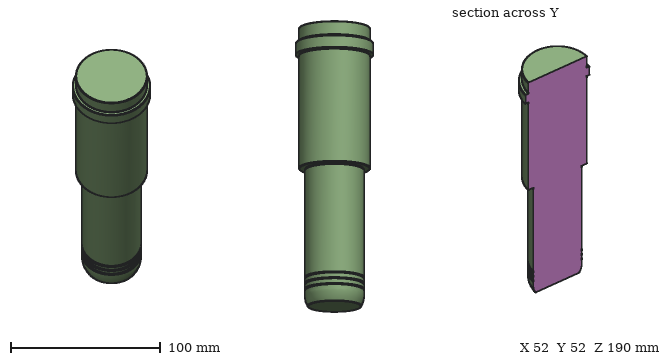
import cadquery as cq

total_height = 190.0

collar_radius = 26.0
body_radius = 24.0
shank_radius = 20.0
tip_radius = 18.0

head_height = 10.0
collar_thickness = 8.0
collar_top = total_height - head_height
collar_bottom = collar_top - collar_thickness
body_bottom = 94.0
nose_height = 8.0

edge_chamfer = 0.5
relief_width = 1.1
relief_depth = 0.4
neck_length = 1.0
neck_depth = 0.5

groove_count = 3
groove_pitch = 4.0
groove_width = 1.0
groove_depth = 0.5

nose_bulge = 0.5


def turned_blank():
    """Revolve the half profile, from the tip up to the head, about the Z axis."""
    nose_mid_radius = (shank_radius + tip_radius) / 2 + nose_bulge
    nose_mid_height = (nose_height + edge_chamfer) / 2
    neck_radius = shank_radius - neck_depth
    neck_bottom = body_bottom - neck_length
    relief_radius = body_radius - relief_depth
    lower_relief_bottom = collar_bottom - relief_width
    upper_relief_top = collar_top + relief_width
    profile = (
        cq.Workplane("XZ")
        .lineTo(tip_radius - edge_chamfer, 0)
        .lineTo(tip_radius, edge_chamfer)
        .threePointArc((nose_mid_radius, nose_mid_height), (shank_radius, nose_height))
        .lineTo(shank_radius, neck_bottom)
        .lineTo(neck_radius, neck_bottom)
        .lineTo(neck_radius, body_bottom)
        .lineTo(body_radius - edge_chamfer, body_bottom)
        .lineTo(body_radius, body_bottom + edge_chamfer)
        .lineTo(body_radius, lower_relief_bottom)
        .lineTo(relief_radius, lower_relief_bottom + relief_depth)
        .lineTo(relief_radius, collar_bottom)
        .lineTo(collar_radius, collar_bottom)
        .lineTo(collar_radius, collar_top - edge_chamfer)
        .lineTo(collar_radius - edge_chamfer, collar_top)
        .lineTo(relief_radius, collar_top)
        .lineTo(relief_radius, upper_relief_top - relief_depth)
        .lineTo(body_radius, upper_relief_top)
        .lineTo(body_radius, total_height - edge_chamfer)
        .lineTo(body_radius - edge_chamfer, total_height)
        .lineTo(0, total_height)
        .close()
    )
    return profile.revolve(360, (0, 0, 0), (0, 1, 0))


def groove_cutter(groove_top):
    """Ring that removes one square groove from the shank."""
    return (
        cq.Workplane("XY")
        .workplane(offset=groove_top - groove_width)
        .circle(shank_radius)
        .circle(shank_radius - groove_depth)
        .extrude(groove_width)
    )


result = turned_blank()

for groove_number in range(1, groove_count + 1):
    result = result.cut(groove_cutter(nose_height + groove_number * groove_pitch))